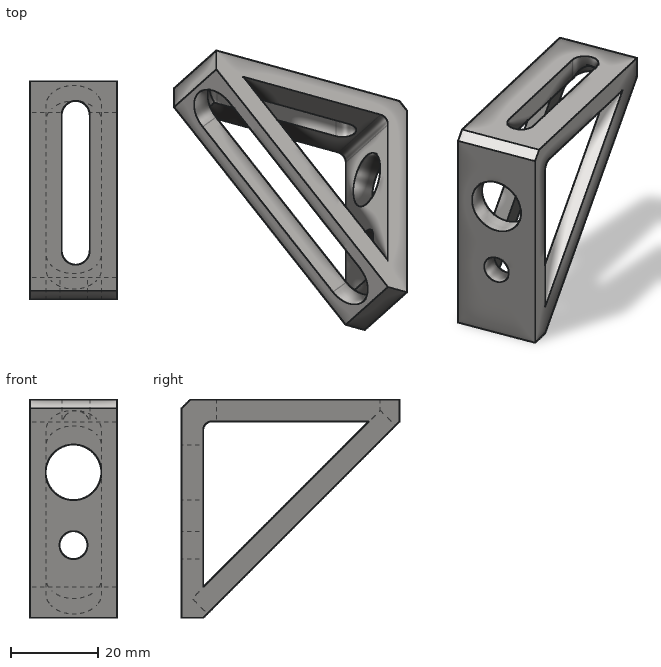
import cadquery as cq
import math

width = 20.0
leg_length = 50.0
thickness = 5.0
corner_chamfer = 2.0
inner_fillet = 2.0

slot_width = 6.35
slot_length = 37.5
slot_center_x = 0.5
slot_center_y = 26.7
large_hole_diameter = 12.7
large_hole_z = 33.35
small_hole_diameter = 6.35
small_hole_z = 16.65

brace_opening_width = 12.7
brace_opening_length = 61.0

brace_offset = thickness * math.sqrt(2)


def extrude_profile(points):
    """Extrude a closed YZ outline across the full width, centred on X = 0."""
    return cq.Workplane("YZ").polyline(points).close().extrude(width / 2, both=True)


def make_frame():
    """Triangular frame: top leg, front leg and diagonal brace."""
    outer = extrude_profile([
        (0, 0),
        (thickness, 0),
        (leg_length, leg_length - thickness),
        (leg_length, leg_length),
        (corner_chamfer, leg_length),
        (0, leg_length - corner_chamfer),
    ])
    inner_top = leg_length - thickness
    window = extrude_profile([
        (thickness, brace_offset),
        (leg_length - brace_offset, inner_top),
        (thickness, inner_top),
    ])
    window = window.edges("|X").edges("<Y").edges(">Z").fillet(inner_fillet)
    return outer.cut(window)


def make_brace_opening():
    """Round-ended opening cut square to the outer face of the brace, one thickness deep.

    It is centred along the brace, and its ends notch the inside of both legs.
    """
    face_middle = (0, (leg_length + thickness) / 2, (leg_length - thickness) / 2)
    inward = (0, -1, 1)
    outer_face = cq.Plane(origin=face_middle, xDir=(1, 0, 0), normal=inward)
    return (
        cq.Workplane(outer_face)
        .slot2D(brace_opening_length, brace_opening_width, 90)
        .extrude(thickness)
    )


def make_slot():
    """Vertical slot through the top leg, in line with the opening in the brace."""
    return (
        cq.Workplane("XY")
        .center(slot_center_x, slot_center_y)
        .slot2D(slot_length, slot_width, 90)
        .extrude(leg_length)
    )


def make_hole(diameter, height):
    """Hole along Y through the front leg, clear of the sides of the brace."""
    return (
        cq.Workplane("XZ")
        .center(0, height)
        .circle(diameter / 2)
        .extrude(-leg_length)
    )


result = (
    make_frame()
    .cut(make_brace_opening())
    .cut(make_slot())
    .cut(make_hole(large_hole_diameter, large_hole_z))
    .cut(make_hole(small_hole_diameter, small_hole_z))
)